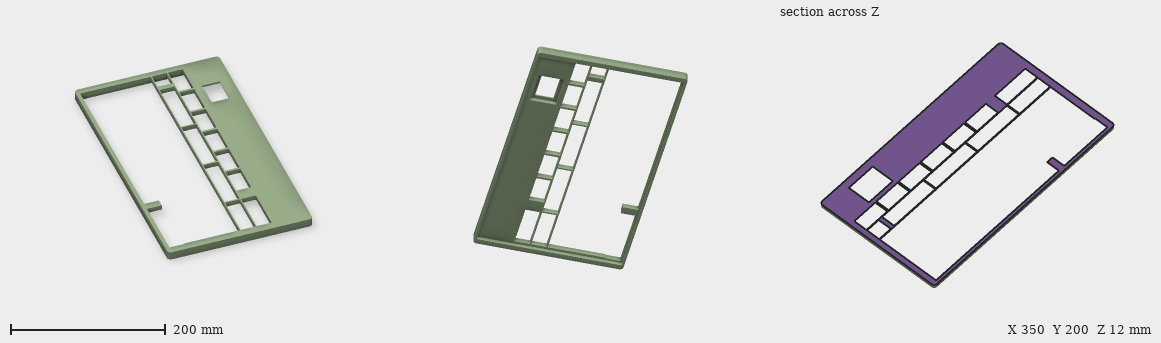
import cadquery as cq

LENGTH = 350.0
WIDTH = 200.0
HEIGHT = 12.0
CORNER_RADIUS = 5.0

SIDE_SKIRT = 7.5
FRONT_BACK_SKIRT = 3.0
CAVITY_CORNER_RADIUS = 2.0
PLATE_THICKNESS = 7.0
RECESS_PLATE_THICKNESS = 1.5

FIELD_LEFT = 9.0
FIELD_RIGHT = 338.9
FIELD_BACK = 53.0
FIELD_FRONT = 194.7
BAR_WIDTH = 1.5
ROW_PITCH = 22.125
ROW_DEPTH = ROW_PITCH - BAR_WIDTH
SECOND_ROW_BACK = FIELD_BACK + ROW_PITCH
MAIN_BACK = FIELD_BACK + 2 * ROW_PITCH

FUNCTION_KEY_COUNT = 6
FUNCTION_KEY_LENGTH = 39.8
FUNCTION_KEY_PITCH = 42.775
RIGHT_BLOCK_LEFT = 280.7
RIGHT_BLOCK_LENGTH = FIELD_RIGHT - RIGHT_BLOCK_LEFT

SINGLE_KEY_LENGTH = 21.9
GROUP_COUNT = 3
GROUP_LEFT = 38.0
GROUP_LENGTH = 78.8
GROUP_PITCH = 80.9

TAB_LEFT = 246.0
TAB_WIDTH = 10.9
TAB_LENGTH = 20.5
STEP_WIDTH = 1.0

WINDOW_LEFT = 49.1
WINDOW_BACK = 16.8
WINDOW_LENGTH = 35.6
WINDOW_DEPTH = 24.5
RECESS_MARGIN = 5.0


def block(left, back, length, depth, height):
    """Box standing on Z = 0, placed by its distances from the left and back case edges."""
    box = cq.Workplane("XY").box(length, depth, height, centered=False)
    return box.translate((left - LENGTH / 2, WIDTH / 2 - back - depth, 0))


def opening(left, back, length, depth):
    """Cutter for a rectangular opening through the whole case."""
    return block(left, back, length, depth, HEIGHT)


def make_shell():
    """Rounded case with a hollow underside and a recess below the display window."""
    body = cq.Workplane("XY").rect(LENGTH, WIDTH).extrude(HEIGHT)
    body = body.edges("|Z").fillet(CORNER_RADIUS)
    cavity_depth = HEIGHT - PLATE_THICKNESS
    cavity = cq.Workplane("XY").rect(LENGTH - 2 * SIDE_SKIRT, WIDTH - 2 * FRONT_BACK_SKIRT)
    cavity = cavity.extrude(cavity_depth).edges("|Z").fillet(CAVITY_CORNER_RADIUS)
    recess = block(
        WINDOW_LEFT - RECESS_MARGIN,
        WINDOW_BACK - RECESS_MARGIN,
        WINDOW_LENGTH + 2 * RECESS_MARGIN,
        WINDOW_DEPTH + 2 * RECESS_MARGIN,
        HEIGHT - RECESS_PLATE_THICKNESS,
    )
    return body.cut(cavity).cut(recess)


def cut_back_row(body):
    """Row of equal function-key openings with the wider opening at its right end."""
    for index in range(FUNCTION_KEY_COUNT):
        left = FIELD_LEFT + index * FUNCTION_KEY_PITCH
        body = body.cut(opening(left, FIELD_BACK, FUNCTION_KEY_LENGTH, ROW_DEPTH))
    return body.cut(opening(RIGHT_BLOCK_LEFT, FIELD_BACK, RIGHT_BLOCK_LENGTH, ROW_DEPTH))


def cut_second_row(body):
    """Single-key opening, three equal group openings and the right-hand opening."""
    body = body.cut(opening(FIELD_LEFT, SECOND_ROW_BACK, SINGLE_KEY_LENGTH, ROW_DEPTH))
    for index in range(GROUP_COUNT):
        left = GROUP_LEFT + index * GROUP_PITCH
        body = body.cut(opening(left, SECOND_ROW_BACK, GROUP_LENGTH, ROW_DEPTH))
    return body.cut(opening(RIGHT_BLOCK_LEFT, SECOND_ROW_BACK, RIGHT_BLOCK_LENGTH, ROW_DEPTH))


def cut_main_opening(body):
    """Large opening whose front strip is split in two by the tab."""
    tab_back = FIELD_FRONT - TAB_LENGTH
    tab_right = TAB_LEFT + TAB_WIDTH
    front_right = FIELD_RIGHT + STEP_WIDTH
    body = body.cut(opening(FIELD_LEFT, MAIN_BACK, FIELD_RIGHT - FIELD_LEFT, tab_back - MAIN_BACK))
    body = body.cut(opening(FIELD_LEFT, tab_back, TAB_LEFT - FIELD_LEFT, TAB_LENGTH))
    return body.cut(opening(tab_right, tab_back, front_right - tab_right, TAB_LENGTH))


def cut_window(body):
    """Rectangular display window through the thinned plate."""
    return body.cut(opening(WINDOW_LEFT, WINDOW_BACK, WINDOW_LENGTH, WINDOW_DEPTH))


case = make_shell()
case = cut_back_row(case)
case = cut_second_row(case)
case = cut_main_opening(case)
result = cut_window(case)